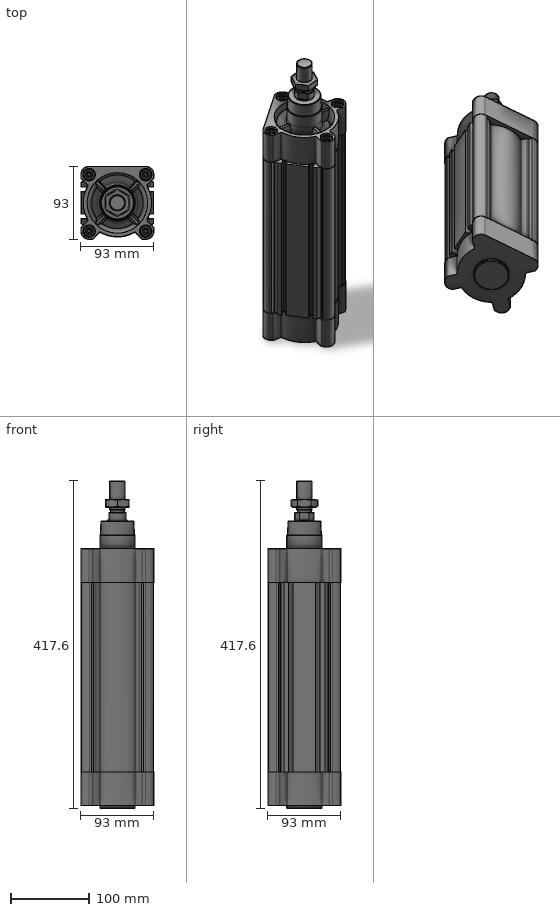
import cadquery as cq
import math

pilot_length = 4.0
cap_length = 43.0
barrel_length = 241.6
collar_height = 35.0
shoulder_height = 46.0
thread_length = 40.0

rear_face_z = pilot_length
barrel_z = rear_face_z + cap_length
front_cap_z = barrel_z + barrel_length
front_face_z = front_cap_z + cap_length
collar_top_z = front_face_z + collar_height
shoulder_z = front_face_z + shoulder_height
rod_end_z = shoulder_z + thread_length
rod_start_z = front_cap_z

cap_width = 93.0
cap_radius = 43.5
post_radius = 10.5
post_band_width = 21.2
cap_edge_fillet = 1.4
screw_spacing = 72.0

pilot_diameter = 45.0
pilot_chamfer = 1.2
collar_step_height = 17.5
collar_step_radius = 21.8
collar_chamfer = 0.7
collar_top_radius = 21.0

recess_radius = 38.5
recess_depth = 16.0
shallow_depth = 8.0
recess_draft = 20.0
boss_draft = 3.0
boss_foot_radius = 3.0
rib_depth = 2.5
rib_top_width = 3.6
rib_base_width = 9.6

counterbore_diameter = 15.8
counterbore_depth = 5.0
head_diameter = 15.0
head_chamfer = 1.0
head_depth = 2.0
socket_mouth_diameter = 8.8
socket_diameter = 8.0
socket_floor_diameter = 4.46
socket_depth = 4.0

barrel_half_width = 46.3
barrel_radius = 43.0
post_edge = 33.3
step_outer = 30.7
step_inner = 27.9
step_out = 42.4
valley_outer = 31.1
valley_inner = 29.9
valley_out = 41.8
barrel_edge_fillet = 1.2
lobe_outer = 26.0
slot_outer = 20.2
slot_inner = 14.4
slot_floor = 38.5

rod_diameter = 25.0
rod_flats = 22.0
rod_round_length = 1.2
rod_chamfer = 0.8
thread_diameter = 20.0
thread_root_diameter = 18.38
undercut_diameter = 17.9
undercut_length = 2.8
nut_flats = 30.0
nut_height = 10.0
nut_face_inset = 0.5
nut_lower_chamfer_angle = 35.0
nut_upper_chamfer_angle = 15.0
nut_top_below_end = 23.6

edge_tolerance = 0.05

corner_signs = [(sx, sy) for sx in (-1, 1) for sy in (-1, 1)]


def cylinder(diameter, z_start, z_end):
    return cq.Workplane("XY").workplane(offset=z_start).circle(diameter / 2).extrude(z_end - z_start)


def centered_box(size_x, size_y, z_start, z_end):
    return cq.Workplane("XY").workplane(offset=z_start).rect(size_x, size_y).extrude(z_end - z_start)


def revolved(profile):
    """Solid of revolution about Z from (radius, height) points."""
    return cq.Workplane("XZ").polyline(profile).close().revolve(360, (0, 0, 0), (0, 1, 0))


def upright_edges_at(solid, radius):
    """Edges parallel to Z at a distance from the axis, off the X and Y planes of symmetry."""
    return [
        edge for edge in solid.edges("|Z").vals()
        if abs(math.hypot(edge.Center().x, edge.Center().y) - radius) < edge_tolerance
        and min(abs(edge.Center().x), abs(edge.Center().y)) > edge_tolerance
    ]


def end_cap(z_start):
    """Round cap with four corner posts on diagonal arms and a flat web on the +Y side."""
    z_end = z_start + cap_length
    square = centered_box(cap_width, cap_width, z_start, z_end).edges("|Z").fillet(post_radius)
    arm = centered_box(2 * cap_width, post_band_width, z_start, z_end)
    arms = arm.rotate((0, 0, 0), (0, 0, 1), 45).union(arm.rotate((0, 0, 0), (0, 0, 1), -45))
    half = cap_width / 2
    web = (
        cq.Workplane("XY").workplane(offset=z_start)
        .polyline([(0, 0), (half, half), (-half, half)]).close()
        .extrude(cap_length)
    )
    cap = square.intersect(arms.union(web)).union(cylinder(2 * cap_radius, z_start, z_end))
    flat_end = half - post_band_width / math.sqrt(2)
    flank_edges = upright_edges_at(cap, math.hypot(half, flat_end)) + upright_edges_at(cap, cap_radius)
    return cap.newObject(flank_edges).fillet(cap_edge_fillet)


def barrel():
    """Profiled barrel: stepped posts at the corners, two lobes and two slots on each X side."""
    half = barrel_half_width
    corner = half - post_radius
    diagonal = corner + post_radius / math.sqrt(2)
    quarter = (
        cq.Workplane("XY").workplane(offset=barrel_z)
        .lineTo(0, step_out - step_inner)
        .lineTo(step_inner, step_out)
        .lineTo(step_outer, step_out)
        .lineTo(post_edge, half)
        .lineTo(corner, half)
        .threePointArc((diagonal, diagonal), (half, corner))
        .lineTo(half, post_edge)
        .lineTo(valley_out, valley_outer)
        .lineTo(valley_out, valley_inner)
        .lineTo(half, lobe_outer)
        .lineTo(half, 0)
        .close()
        .extrude(barrel_length)
    )
    half_profile = quarter.union(quarter.mirror("XZ"))
    solid = half_profile.union(half_profile.mirror("YZ"))
    solid = solid.union(cylinder(2 * barrel_radius, barrel_z, front_cap_z))
    slot_depth = half - slot_floor
    for sx, sy in corner_signs:
        slot = centered_box(2 * slot_depth, slot_outer - slot_inner, barrel_z, front_cap_z)
        solid = solid.cut(slot.translate((sx * half, sy * (slot_outer + slot_inner) / 2, 0)))
    step_edges = upright_edges_at(solid, math.hypot(step_inner, step_out))
    flank_edges = upright_edges_at(solid, barrel_radius)
    return solid.newObject(step_edges + flank_edges).fillet(barrel_edge_fillet)


def rear_pilot():
    return cylinder(pilot_diameter, 0, rear_face_z).faces("<Z").chamfer(pilot_chamfer)


def collar():
    """Stepped collar that guides the rod, its upper part slightly conical."""
    step_z = front_face_z + collar_step_height
    return revolved([
        (0, front_cap_z),
        (pilot_diameter / 2, front_cap_z),
        (pilot_diameter / 2, step_z - collar_chamfer),
        (collar_step_radius, step_z),
        (collar_top_radius, collar_top_z - collar_chamfer),
        (collar_top_radius - collar_chamfer, collar_top_z),
        (0, collar_top_z),
    ])


def tapered_ring():
    """Ring-shaped space around the collar, narrowing downward, with a fillet at the foot of the boss."""
    floor_z = front_face_z - recess_depth
    ring = revolved([
        (pilot_diameter / 2, front_face_z),
        (pilot_diameter / 2 + recess_depth * math.tan(math.radians(boss_draft)), floor_z),
        (recess_radius - recess_depth * math.tan(math.radians(recess_draft)), floor_z),
        (recess_radius, front_face_z),
    ])
    boss_foot = cq.selectors.RadiusNthSelector(1)
    return ring.edges("%CIRCLE").edges(boss_foot).fillet(boss_foot_radius)


def raised_floor():
    """Quarter of the recess floor on the +Y side, raised and rounded up into the boss."""
    reach = 2 * recess_radius
    deep_z = front_face_z - recess_depth
    floor_z = front_face_z - shallow_depth
    wall_radius = pilot_diameter / 2
    arc_offset = boss_foot_radius * (1 - math.sqrt(0.5))
    floor = (
        cq.Workplane("XZ")
        .moveTo(0, deep_z)
        .lineTo(reach, deep_z)
        .lineTo(reach, floor_z)
        .lineTo(wall_radius + boss_foot_radius, floor_z)
        .threePointArc(
            (wall_radius + arc_offset, floor_z + arc_offset),
            (wall_radius, floor_z + boss_foot_radius),
        )
        .lineTo(0, floor_z + boss_foot_radius)
        .close()
        .revolve(360, (0, 0, 0), (0, 1, 0))
    )
    y_sector = (
        cq.Workplane("XY").workplane(offset=deep_z)
        .polyline([(0, 0), (reach, reach), (-reach, reach)]).close()
        .extrude(recess_depth)
    )
    return floor.intersect(y_sector)


def front_recess():
    """Recess around the collar, shallower on the +Y side and crossed by four diagonal ribs."""
    reach = 2 * recess_radius
    recess = tapered_ring().cut(raised_floor())
    rib = (
        cq.Workplane("XZ")
        .polyline([
            (-rib_base_width / 2, front_face_z - recess_depth),
            (rib_base_width / 2, front_face_z - recess_depth),
            (rib_top_width / 2, front_face_z - rib_depth),
            (-rib_top_width / 2, front_face_z - rib_depth),
        ])
        .close()
        .extrude(reach, both=True)
    )
    for angle in (45, -45):
        recess = recess.cut(rib.rotate((0, 0, 0), (0, 0, 1), angle))
    return recess


def screw_recess():
    """Space around and inside one cap screw: a thin ring, the head clearance and the socket."""
    head_z = front_face_z - head_depth
    mouth_chamfer = (socket_mouth_diameter - socket_diameter) / 2
    gap_floor_z = front_face_z - counterbore_depth
    socket_z = head_z - socket_depth
    cone_depth = (socket_diameter - socket_floor_diameter) / 2
    return revolved([
        (0, front_face_z),
        (counterbore_diameter / 2, front_face_z),
        (counterbore_diameter / 2, gap_floor_z),
        (head_diameter / 2, gap_floor_z),
        (head_diameter / 2, head_z - head_chamfer),
        (head_diameter / 2 - head_chamfer, head_z),
        (socket_mouth_diameter / 2, head_z),
        (socket_diameter / 2, head_z - mouth_chamfer),
        (socket_diameter / 2, socket_z),
        (socket_floor_diameter / 2, socket_z - cone_depth),
        (0, socket_z - cone_depth),
    ])


def cylinder_body():
    body = end_cap(rear_face_z).union(barrel()).union(end_cap(front_cap_z)).union(rear_pilot())
    body = body.cut(front_recess()).union(collar())
    for sx, sy in corner_signs:
        body = body.cut(screw_recess().translate((sx * screw_spacing / 2, sy * screw_spacing / 2, 0)))
    return body.cut(cylinder(rod_diameter, rod_start_z, collar_top_z))


def piston_rod():
    """Rod with wrench flats facing X below the shoulder, an undercut and a plain threaded end."""
    shank = cylinder(rod_diameter, rod_start_z, shoulder_z).faces(">Z").chamfer(rod_chamfer)
    flats_z = collar_top_z + rod_round_length
    flat_cut = centered_box(rod_diameter, rod_diameter, flats_z, shoulder_z)
    for side in (-1, 1):
        shank = shank.cut(flat_cut.translate((side * (rod_flats + rod_diameter) / 2, 0, 0)))
    thread_z = shoulder_z + undercut_length
    undercut = cylinder(undercut_diameter, shoulder_z, thread_z)
    thread_chamfer = (thread_diameter - thread_root_diameter) / 2
    thread = cylinder(thread_diameter, thread_z, rod_end_z).faces("<Z or >Z").chamfer(thread_chamfer)
    return shank.union(undercut).union(thread)


def hex_nut():
    """Hexagon nut with flats facing X and its corners chamfered at both ends."""
    nut_z = rod_end_z - nut_top_below_end - nut_height
    corner_radius = nut_flats / math.sqrt(3)
    hexagon = (
        cq.Workplane("XY").workplane(offset=nut_z)
        .polygon(6, 2 * corner_radius).extrude(nut_height)
        .rotate((0, 0, 0), (0, 0, 1), 30)
    )
    face_radius = nut_flats / 2 - nut_face_inset
    chamfer_width = corner_radius - face_radius
    lower_chamfer = chamfer_width * math.tan(math.radians(nut_lower_chamfer_angle))
    upper_chamfer = chamfer_width * math.tan(math.radians(nut_upper_chamfer_angle))
    envelope = revolved([
        (0, nut_z),
        (face_radius, nut_z),
        (corner_radius, nut_z + lower_chamfer),
        (corner_radius, nut_z + nut_height - upper_chamfer),
        (face_radius, nut_z + nut_height),
        (0, nut_z + nut_height),
    ])
    return hexagon.intersect(envelope).cut(cylinder(thread_diameter, nut_z, rod_end_z))


body = cylinder_body()
rod = piston_rod()
nut = hex_nut()
result = cq.Compound.makeCompound([body.val(), rod.val(), nut.val()])